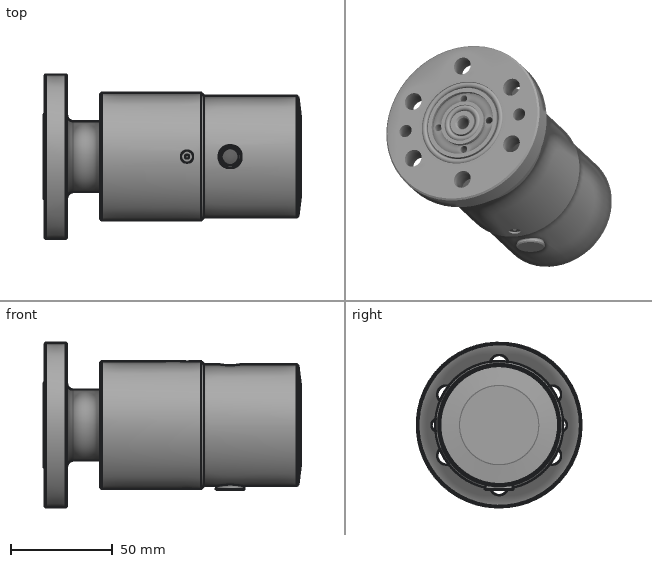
import cadquery as cq
import math


flange_radius = 81 / 2
flange_thickness = 11.2
flange_chamfer = 0.8

neck_radius = 35 / 2
neck_fillet = 2.9

front_barrel_start = 27.3
front_barrel_end = 78.4
front_barrel_radius = 63 / 2
rear_barrel_radius = 60 / 2
rear_barrel_end = 124.9
barrel_chamfer = 1.0
end_cone_tip = 126.1
end_cone_small_radius = 19.5
front_recess_radius = 54.95 / 2
front_recess_depth = 5.0

ring_section = 2.62
groove_width = 3.2
groove_depth = 2.2
large_groove_outer_radius = 42.8 / 2
small_groove_outer_radius = 18.8 / 2

channel_outer_radius = 32.4 / 2
channel_inner_radius = 22.4 / 2
channel_depth = 2.0
feed_hole_diameter = 3.5
feed_hole_circle_radius = 13.4
feed_hole_count = 4
feed_hole_tilt = 15.0
feed_hole_length = 14.0

bore_entry_diameter = 7.5
bore_entry_depth = 1.0
bore_diameter = 6.0
bore_depth = 40.0

hole_circle_radius = 30.0
bolt_hole_diameter = 8.8
bolt_hole_count = 6
dowel_hole_diameter = 6.4
dowel_hole_count = 2

port_x = 91.3
port_mouth_diameter = 11.4
port_bore_end_diameter = 10.72
port_shoulder_depth = 9.0
port_passage_diameter = 8.4

plug_bottom = -31.9
plug_rim = -31.3
plug_top = -29.0
plug_top_diameter = 12.8
plug_rim_diameter = 14.2
plug_face_diameter = 13.0

screw_x = 70.1
screw_recess_diameter = 6.0
screw_recess_depth = 0.9
screw_socket_diameter = 2.0
screw_socket_depth = 0.6


def disc_along_x(start, radius, length):
    return cq.Workplane("YZ", origin=(start, 0, 0)).circle(radius).extrude(length)


def annulus_along_x(start, outer_radius, inner_radius, length):
    return cq.Workplane("YZ", origin=(start, 0, 0)).circle(outer_radius).circle(inner_radius).extrude(length)


def make_turned_body():
    fillet_end_x = flange_thickness + neck_fillet
    fillet_mid_x = fillet_end_x - neck_fillet * math.sqrt(0.5)
    fillet_mid_radius = neck_radius + neck_fillet * (1 - math.sqrt(0.5))
    return (
        cq.Workplane("XY")
        .moveTo(0, 0)
        .lineTo(0, flange_radius - flange_chamfer)
        .lineTo(flange_chamfer, flange_radius)
        .lineTo(flange_thickness - flange_chamfer, flange_radius)
        .lineTo(flange_thickness, flange_radius - flange_chamfer)
        .lineTo(flange_thickness, neck_radius + neck_fillet)
        .threePointArc((fillet_mid_x, fillet_mid_radius), (fillet_end_x, neck_radius))
        .lineTo(front_barrel_start + front_recess_depth, neck_radius)
        .lineTo(front_barrel_start + front_recess_depth, front_recess_radius)
        .lineTo(front_barrel_start, front_recess_radius)
        .lineTo(front_barrel_start, front_barrel_radius - barrel_chamfer)
        .lineTo(front_barrel_start + barrel_chamfer, front_barrel_radius)
        .lineTo(front_barrel_end - (front_barrel_radius - rear_barrel_radius), front_barrel_radius)
        .lineTo(front_barrel_end, rear_barrel_radius)
        .lineTo(rear_barrel_end - barrel_chamfer, rear_barrel_radius)
        .lineTo(rear_barrel_end, rear_barrel_radius - barrel_chamfer)
        .lineTo(end_cone_tip, end_cone_small_radius)
        .lineTo(end_cone_tip, 0)
        .close()
        .revolve(360, (0, 0, 0), (1, 0, 0))
    )


def make_plug_head():
    return (
        cq.Workplane("XZ", origin=(port_x, 0, 0))
        .moveTo(0, plug_top)
        .lineTo(plug_top_diameter / 2, plug_top)
        .lineTo(plug_rim_diameter / 2, plug_rim)
        .lineTo(plug_face_diameter / 2, plug_bottom)
        .lineTo(0, plug_bottom)
        .close()
        .revolve(360, (0, 0, 0), (0, 1, 0))
    )


def make_ring_groove(outer_radius):
    return annulus_along_x(0, outer_radius, outer_radius - groove_width, groove_depth)


def make_channel():
    return annulus_along_x(0, channel_outer_radius, channel_inner_radius, channel_depth)


def make_feed_holes():
    tilt = math.radians(feed_hole_tilt)
    direction = cq.Vector(math.cos(tilt), 0, -math.sin(tilt))
    mouth = cq.Vector(channel_depth, 0, feed_hole_circle_radius)
    start = mouth - direction
    hole = cq.Solid.makeCylinder(feed_hole_diameter / 2, feed_hole_length, start, direction)
    step = 360 / feed_hole_count
    return [hole.rotate((0, 0, 0), (1, 0, 0), i * step) for i in range(feed_hole_count)]


def make_bore():
    entry = cq.Workplane(
        cq.Solid.makeCone(
            bore_entry_diameter / 2, bore_diameter / 2, bore_entry_depth, cq.Vector(0, 0, 0), cq.Vector(1, 0, 0)
        )
    )
    return entry.union(disc_along_x(0, bore_diameter / 2, bore_depth))


def make_flange_holes(diameter, count, start_angle):
    return (
        cq.Workplane("YZ")
        .polarArray(hole_circle_radius, start_angle, 360, count)
        .circle(diameter / 2)
        .extrude(flange_thickness)
    )


def make_port():
    mouth_z = rear_barrel_radius
    shoulder_z = mouth_z - port_shoulder_depth
    mouth_radius = port_mouth_diameter / 2
    bore_end_radius = port_bore_end_diameter / 2
    passage_radius = port_passage_diameter / 2
    port = (
        cq.Workplane("XZ", origin=(port_x, 0, 0))
        .moveTo(0, mouth_z)
        .lineTo(mouth_radius, mouth_z)
        .lineTo(bore_end_radius, shoulder_z)
        .lineTo(passage_radius, shoulder_z - (bore_end_radius - passage_radius))
        .lineTo(passage_radius, 0)
        .lineTo(0, 0)
        .close()
        .revolve(360, (0, 0, 0), (0, 1, 0))
    )
    shaft = disc_along_x(port_x - port_bore_end_diameter, neck_radius, 2 * port_bore_end_diameter)
    return port.cut(shaft)


def make_screw_recess():
    floor = front_barrel_radius - screw_recess_depth
    recess = (
        cq.Workplane("XY", origin=(screw_x, 0, floor))
        .circle(screw_recess_diameter / 2)
        .extrude(2 * screw_recess_depth)
    )
    socket = (
        cq.Workplane("XY", origin=(screw_x, 0, floor))
        .circle(screw_socket_diameter / 2)
        .extrude(-screw_socket_depth)
    )
    return recess.union(socket)


def make_union_body():
    body = make_turned_body().union(make_plug_head())
    for outer_radius in (large_groove_outer_radius, small_groove_outer_radius):
        body = body.cut(make_ring_groove(outer_radius))
    body = body.cut(make_channel())
    for hole in make_feed_holes():
        body = body.cut(cq.Workplane(hole))
    body = body.cut(make_bore())
    body = body.cut(make_flange_holes(bolt_hole_diameter, bolt_hole_count, 90))
    body = body.cut(make_flange_holes(dowel_hole_diameter, dowel_hole_count, 0))
    body = body.cut(make_port())
    screw_recess = make_screw_recess()
    body = body.cut(screw_recess)
    body = body.cut(screw_recess.mirror("XY"))
    return body


def make_o_ring(groove_outer_radius):
    section_radius = ring_section / 2
    center_x = groove_depth - section_radius
    center_radius = groove_outer_radius - section_radius
    return cq.Workplane(
        cq.Solid.makeTorus(center_radius, section_radius, cq.Vector(center_x, 0, 0), cq.Vector(1, 0, 0))
    )


union_body = make_union_body()
large_o_ring = make_o_ring(large_groove_outer_radius)
small_o_ring = make_o_ring(small_groove_outer_radius)

result = cq.Compound.makeCompound([union_body.val(), large_o_ring.val(), small_o_ring.val()])